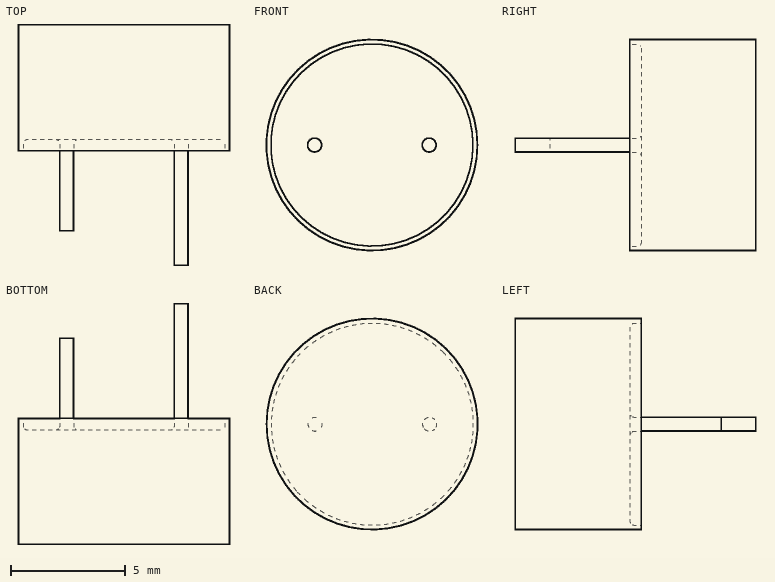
import cadquery as cq

can_diameter = 9.22
can_length = 5.5
rim_width = 0.2
recess_depth = 0.5
floor_fillet = 0.2

pin_diameter = 0.61
pin_spacing = 5.0
overall_length = 10.5
long_pin_reach = overall_length - can_length
short_pin_reach = 3.5
pin_fillet = 0.2

can_radius = can_diameter / 2
recess_radius = can_radius - rim_width
pin_radius = pin_diameter / 2


def make_can():
    """Solid cylinder with a shallow recess, rounded where its wall meets its floor."""
    can = cq.Workplane("XZ").circle(can_radius).extrude(-can_length)
    recess = (
        cq.Workplane("XZ")
        .circle(recess_radius)
        .extrude(-recess_depth)
        .faces(">Y")
        .edges()
        .fillet(floor_fillet)
    )
    return can.cut(recess)


def make_pin(x, reach):
    """Pin standing on the recess floor, flared at its root by a concave fillet."""
    flare_radius = pin_radius + pin_fillet
    flare_top = recess_depth - pin_fillet
    arc_offset = pin_fillet * (1 - 0.5 ** 0.5)
    profile = (
        cq.Workplane("XY")
        .moveTo(0, -reach)
        .lineTo(pin_radius, -reach)
        .lineTo(pin_radius, flare_top)
        .threePointArc(
            (pin_radius + arc_offset, recess_depth - arc_offset),
            (flare_radius, recess_depth),
        )
        .lineTo(0, recess_depth)
        .close()
    )
    return profile.revolve(360, (0, 0), (0, 1)).translate((x, 0, 0))


result = make_can()
for pin_x, pin_reach in (
    (-pin_spacing / 2, short_pin_reach),
    (pin_spacing / 2, long_pin_reach),
):
    result = result.union(make_pin(pin_x, pin_reach))